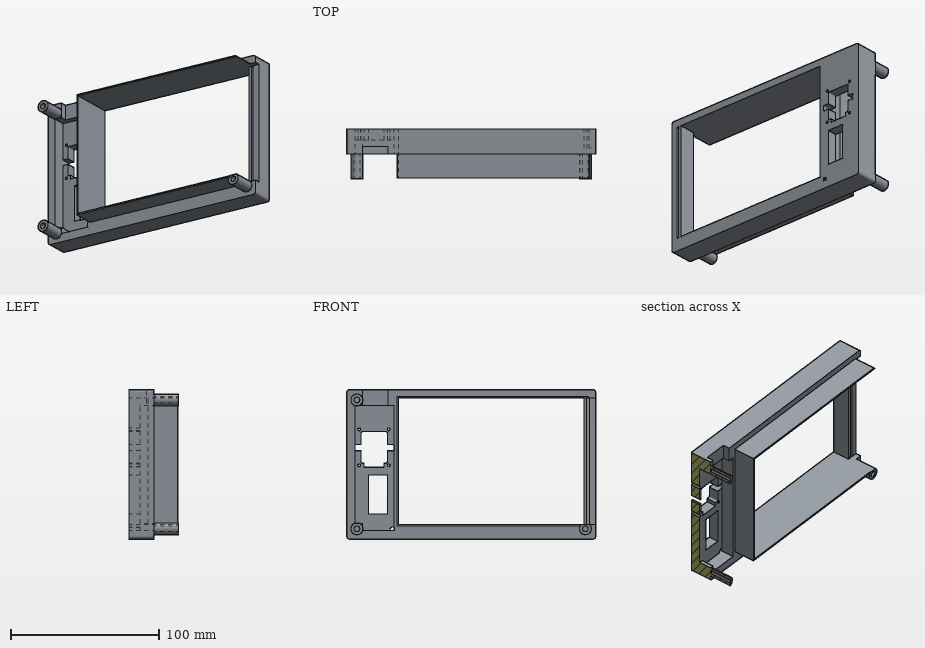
import cadquery as cq

LENGTH = 168.0
DEPTH = 33.6
HEIGHT = 101.0
FRAME_DEPTH = 17.0
FRAME_FRONT = DEPTH - FRAME_DEPTH
CORNER_RADIUS = 2.0

SCREEN_LEFT = 35.0
SCREEN_RIGHT = 160.0
SCREEN_BOTTOM = 10.0
SCREEN_TOP = 95.5
COLLAR_WALL = 1.0
COLLAR_LENGTH = 16.1
COLLAR_RIGHT = 163.5
COLLAR_CORNER_RADIUS = 1.5

STEP_DEPTH = 4.0
SLOT_LEFT = 162.0
SLOT_RIGHT = COLLAR_RIGHT

POST_DIAMETER = 8.0
POST_HOLE_DIAMETER = 3.9
POST_INSET_X = 6.9
POST_INSET_Z = 7.0
POST_RIGHT_X = 161.0
POST_CENTERS = [
    (POST_INSET_X, POST_INSET_Z),
    (POST_INSET_X, HEIGHT - POST_INSET_Z),
    (POST_RIGHT_X, POST_INSET_Z),
]

POCKET_LEFT = 5.7
POCKET_RIGHT = 32.0
POCKET_BOTTOM = 6.0
POCKET_TOP = 90.2
POCKET_DEPTH = 9.5
POST_PAD_RIGHT = 10.8
POST_PAD_TOP = 10.5

NOTCH_LEFT = 10.8
NOTCH_RIGHT = 27.9
NOTCH_DEPTH = 5.0

SOCKET_LEFT = 9.7
SOCKET_RIGHT = 27.4
SOCKET_BOTTOM = 51.4
SOCKET_TOP = 72.5
SOCKET_RADIUS = 0.8
SIDE_SLOT_BOTTOM = 59.8
SIDE_SLOT_TOP = 63.8
TONGUE_LEFT = 11.8
TONGUE_RIGHT = 25.0
TONGUE_BOTTOM = 48.7
SCREW_HOLE_DIAMETER = 1.7
SCREW_XS = (8.4, 28.4)
SCREW_ZS = (49.9, 74.1)

SWITCH_LEFT = 14.8
SWITCH_RIGHT = SOCKET_RIGHT
SWITCH_BOTTOM = 17.1
SWITCH_TOP = 43.2
DRAIN_DIAMETER = 3.7
DRAIN_X = 31.0
DRAIN_Z = 6.4


def block(left, right, front, back, bottom, top):
    """Box given by its limits along X, Y and Z."""
    size = (right - left, back - front, top - bottom)
    return cq.Workplane("XY").box(*size, centered=False).translate((left, front, bottom))


def rod(x, z, diameter, front, back):
    """Cylinder along Y."""
    start = cq.Vector(x, front, z)
    return cq.Workplane(cq.Solid.makeCylinder(diameter / 2, back - front, start, cq.Vector(0, 1, 0)))


def make_frame():
    frame = block(0, LENGTH, FRAME_FRONT, DEPTH, 0, HEIGHT)
    return frame.edges("|Y").fillet(CORNER_RADIUS)


def make_collar():
    collar = block(
        SCREEN_LEFT - COLLAR_WALL, COLLAR_RIGHT,
        FRAME_FRONT - COLLAR_LENGTH, FRAME_FRONT,
        SCREEN_BOTTOM - COLLAR_WALL, SCREEN_TOP + COLLAR_WALL,
    )
    return collar.edges("|Y and >X").fillet(COLLAR_CORNER_RADIUS)


def cut_screen(body):
    window = block(SCREEN_LEFT, SCREEN_RIGHT, 0, DEPTH, SCREEN_BOTTOM, SCREEN_TOP)
    slot = block(SLOT_LEFT, SLOT_RIGHT, 0, DEPTH, SCREEN_BOTTOM, SCREEN_TOP)
    step = block(SCREEN_RIGHT, LENGTH, 0, FRAME_FRONT + STEP_DEPTH, SCREEN_BOTTOM, SCREEN_TOP)
    return body.cut(window).cut(slot).cut(step)


def cut_pocket(body):
    floor = FRAME_FRONT + POCKET_DEPTH
    pocket = block(POCKET_LEFT, POCKET_RIGHT, FRAME_FRONT, floor, POCKET_BOTTOM, POCKET_TOP)
    post_pad = block(POCKET_LEFT, POST_PAD_RIGHT, FRAME_FRONT, floor, POCKET_BOTTOM, POST_PAD_TOP)
    notch = block(NOTCH_LEFT, NOTCH_RIGHT, FRAME_FRONT, FRAME_FRONT + NOTCH_DEPTH, POCKET_TOP, HEIGHT)
    return body.cut(pocket.cut(post_pad)).cut(notch)


def cut_floor_openings(body):
    floor = FRAME_FRONT + POCKET_DEPTH
    socket = block(SOCKET_LEFT, SOCKET_RIGHT, floor, DEPTH, SOCKET_BOTTOM, SOCKET_TOP)
    socket = socket.edges("|Y").fillet(SOCKET_RADIUS)
    side_slot = block(POCKET_LEFT, POCKET_RIGHT, floor, DEPTH, SIDE_SLOT_BOTTOM, SIDE_SLOT_TOP)
    side_slot = side_slot.edges("|Y and >X").fillet(SOCKET_RADIUS)
    tongue = block(TONGUE_LEFT, TONGUE_RIGHT, floor, DEPTH, TONGUE_BOTTOM, SOCKET_TOP)
    switch = block(SWITCH_LEFT, SWITCH_RIGHT, floor, DEPTH, SWITCH_BOTTOM, SWITCH_TOP)
    body = body.cut(socket).cut(side_slot).cut(tongue).cut(switch)
    for x in SCREW_XS:
        for z in SCREW_ZS:
            body = body.cut(rod(x, z, SCREW_HOLE_DIAMETER, floor, DEPTH))
    pocket_area = block(POCKET_LEFT, POCKET_RIGHT, floor, DEPTH, POCKET_BOTTOM, POCKET_TOP)
    return body.cut(rod(DRAIN_X, DRAIN_Z, DRAIN_DIAMETER, floor, DEPTH).intersect(pocket_area))


body = cut_pocket(make_frame()).union(make_collar())
for post_x, post_z in POST_CENTERS:
    body = body.union(rod(post_x, post_z, POST_DIAMETER, 0, FRAME_FRONT))
body = cut_screen(body)
for post_x, post_z in POST_CENTERS:
    body = body.cut(rod(post_x, post_z, POST_HOLE_DIAMETER, 0, FRAME_FRONT))
result = cut_floor_openings(body)